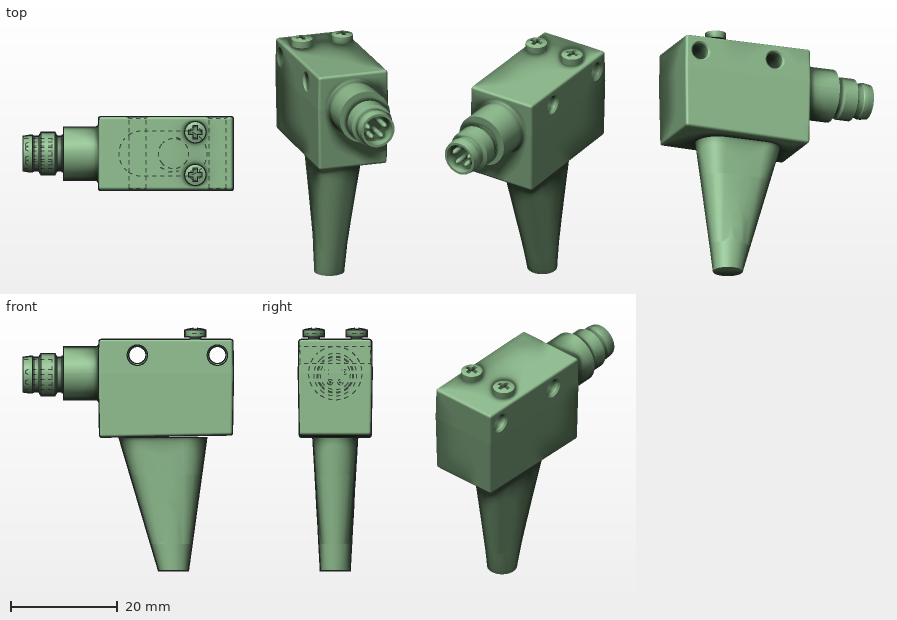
import cadquery as cq
import math


HOUSING_LENGTH = 25.35
HOUSING_WIDTH = 13.9
HEIGHT_ABOVE = 6.35
HEIGHT_BELOW = 12.05
DRAFT_ANGLE = 1.0
BOTTOM_SLOPE = 1.0
EDGE_RADIUS = 0.5

HOLE_RADIUS = 1.6
HOLE_RIM_RADIUS = 1.9
HOLE_FIRST_X = 7.3
HOLE_SPACING = 15.0
HOLE_Z = 3.4

SLEEVE_RADIUS = 5.0
SLEEVE_LENGTH = 6.55
SLEEVE_ROOT_RADIUS = 0.5
PLUG_LENGTH = 14.15
PLUG_AXIS_Z = -0.25
PLUG_NECK_RADIUS = 3.25
PLUG_LIP_RADIUS = 3.45
PLUG_COLLAR_RADIUS = 4.0
PLUG_FLANGE_LENGTH = 0.23
COLLAR_END = 7.72
COLLAR_START = 11.15
COLLAR_CHAMFER = 0.4
LIP_END = 12.1
LIP_BEVEL = 0.25
LIP_WIDTH = 0.55
BORE_RADIUS = 2.8
BORE_DEPTH = 5.45

PIN_RADIUS = 0.5
PIN_INSET = 0.45
PIN_TIP_LENGTH = 0.85
PIN_TIP_RADIUS = 0.15
UPPER_PIN_Y = 1.65
UPPER_PIN_Z = 0.5
LOWER_PIN_Y = 0.95
LOWER_PIN_Z = -1.4

SCREW_X = 18.18
SCREW_Y = 4.0
SHANK_RADIUS = 1.05
HEAD_RADIUS = 2.0
HEAD_GAP = 0.45
HEAD_RIM_HEIGHT = 1.25
SCREW_TOP_Z = 8.45
CROSS_LENGTH = 2.5
CROSS_WIDTH = 0.8
CROSS_DEPTH = 1.0

SPOUT_LENGTH = 25.0
SPOUT_BREAKS = [0, 7.0, 20.0, SPOUT_LENGTH]
SPOUT_TOP_START_X = 3.85
SPOUT_TOP_END_X = 20.35
SPOUT_TOP_RADIUS = 4.23
SPOUT_TIP_X = 14.1
SPOUT_TIP_RADIUS = 2.8


def make_half(height, rise):
    """Half of the housing above the parting plane: drafted block with round edges and half a sleeve.

    The far face rises by `rise` towards the parting plane along the housing.
    """
    outline = cq.Sketch().rect(HOUSING_LENGTH, HOUSING_WIDTH)
    parting_plane = cq.Workplane("XY", origin=(HOUSING_LENGTH / 2, 0, 0))
    block = parting_plane.placeSketch(outline).extrude(height, taper=DRAFT_ANGLE)
    if rise > 0:
        slope_wedge = (
            cq.Workplane("XZ")
            .polyline([(0, height), (HOUSING_LENGTH, height - rise), (HOUSING_LENGTH, height)])
            .close()
            .extrude(HOUSING_WIDTH / 2, both=True)
        )
        block = block.cut(slope_wedge)
    block = block.edges("not <Z").fillet(EDGE_RADIUS)

    half_sleeve = (
        cq.Workplane("YZ", origin=(-SLEEVE_LENGTH, 0, 0))
        .moveTo(-SLEEVE_RADIUS, 0)
        .threePointArc((0, SLEEVE_RADIUS), (SLEEVE_RADIUS, 0))
        .close()
        .extrude(SLEEVE_LENGTH + HOUSING_LENGTH / 2)
    )
    root_centroid = (0, 0, 2 * SLEEVE_RADIUS / math.pi)
    root_edge = cq.NearestToPointSelector(root_centroid)
    return block.union(half_sleeve).edges(root_edge).fillet(SLEEVE_ROOT_RADIUS)


def make_shell():
    """Both halves of the housing joined at the parting plane, the lower one with a sloped bottom."""
    bottom_rise = HOUSING_LENGTH * math.tan(math.radians(BOTTOM_SLOPE))
    upper = make_half(HEIGHT_ABOVE, 0)
    lower = make_half(HEIGHT_BELOW, bottom_rise).mirror("XY")
    return upper.union(lower, clean=False)


def make_plug():
    """Turned plug with a flange, a bevelled collar, a lip near the tip and a bore."""
    lip_start = LIP_END + LIP_WIDTH + LIP_BEVEL
    profile = [
        (-SLEEVE_LENGTH + SLEEVE_ROOT_RADIUS, 0),
        (-SLEEVE_LENGTH + SLEEVE_ROOT_RADIUS, PLUG_LIP_RADIUS),
        (-SLEEVE_LENGTH - PLUG_FLANGE_LENGTH, PLUG_LIP_RADIUS),
        (-SLEEVE_LENGTH - PLUG_FLANGE_LENGTH, PLUG_NECK_RADIUS),
        (-COLLAR_END, PLUG_NECK_RADIUS),
        (-COLLAR_END - COLLAR_CHAMFER, PLUG_COLLAR_RADIUS),
        (-COLLAR_START + COLLAR_CHAMFER, PLUG_COLLAR_RADIUS),
        (-COLLAR_START, PLUG_NECK_RADIUS),
        (-LIP_END, PLUG_NECK_RADIUS),
        (-LIP_END - LIP_BEVEL, PLUG_LIP_RADIUS),
        (-lip_start, PLUG_LIP_RADIUS),
        (-PLUG_LENGTH, PLUG_NECK_RADIUS),
        (-PLUG_LENGTH, BORE_RADIUS),
        (-PLUG_LENGTH + BORE_DEPTH, BORE_RADIUS),
        (-PLUG_LENGTH + BORE_DEPTH, 0),
    ]
    return (
        cq.Workplane("XZ", origin=(0, 0, PLUG_AXIS_Z))
        .polyline(profile)
        .close()
        .revolve(360, (0, 0, 0), (1, 0, 0))
    )


def make_pin(y, z):
    """Contact pin with a tapered round tip, standing on the floor of the bore."""
    length = BORE_DEPTH - PIN_INSET + PIN_RADIUS
    pin = (
        cq.Workplane("XY")
        .moveTo(length, 0)
        .lineTo(length, PIN_RADIUS)
        .lineTo(PIN_TIP_LENGTH, PIN_RADIUS)
        .tangentArcPoint((0, PIN_TIP_RADIUS), relative=False)
        .lineTo(0, 0)
        .close()
        .revolve(360, (0, 0, 0), (1, 0, 0))
    )
    return pin.translate((-PLUG_LENGTH + PIN_INSET, y, PLUG_AXIS_Z + z))


def make_screw(y):
    """Screw with a domed head and a cross recess, its head held just above the housing."""
    head_bottom = HEIGHT_ABOVE + HEAD_GAP
    rim_top = head_bottom + HEAD_RIM_HEIGHT
    dome_rise = SCREW_TOP_Z - rim_top
    dome_radius = (HEAD_RADIUS**2 + dome_rise**2) / (2 * dome_rise)
    half_radius = HEAD_RADIUS / 2
    dome_middle_z = SCREW_TOP_Z - dome_radius + math.sqrt(dome_radius**2 - half_radius**2)
    body = (
        cq.Workplane("XZ")
        .moveTo(0, HEIGHT_ABOVE - EDGE_RADIUS)
        .lineTo(SHANK_RADIUS, HEIGHT_ABOVE - EDGE_RADIUS)
        .lineTo(SHANK_RADIUS, head_bottom)
        .lineTo(HEAD_RADIUS, head_bottom)
        .lineTo(HEAD_RADIUS, rim_top)
        .threePointArc((half_radius, dome_middle_z), (0, SCREW_TOP_Z))
        .close()
        .revolve(360, (0, 0, 0), (0, 1, 0))
    )
    recess = cq.Workplane("XY", origin=(0, 0, SCREW_TOP_Z))
    cross = recess.rect(CROSS_LENGTH, CROSS_WIDTH).extrude(-CROSS_DEPTH)
    cross = cross.union(recess.rect(CROSS_WIDTH, CROSS_LENGTH).extrude(-CROSS_DEPTH))
    return body.cut(cross).translate((SCREW_X, y, 0))


def make_hole_cutter(x):
    """Through hole along Y with a chamfered rim on both sides of the housing."""
    rim = HOLE_RIM_RADIUS - HOLE_RADIUS
    half_width = HOUSING_WIDTH / 2 - HOLE_Z * math.tan(math.radians(DRAFT_ANGLE))
    profile = [
        (0, -half_width - rim),
        (HOLE_RIM_RADIUS + rim, -half_width - rim),
        (HOLE_RADIUS, -half_width + rim),
        (HOLE_RADIUS, half_width - rim),
        (HOLE_RIM_RADIUS + rim, half_width + rim),
        (0, half_width + rim),
    ]
    cutter = cq.Workplane("XY").polyline(profile).close().revolve(360, (0, 0, 0), (0, 1, 0))
    return cutter.translate((x, 0, HOLE_Z))


def make_housing():
    """Housing in one piece with its connector and its screws."""
    housing = make_shell()
    housing = housing.union(make_plug(), clean=False)
    for side in (-1, 1):
        housing = housing.union(make_pin(side * UPPER_PIN_Y, UPPER_PIN_Z), clean=False)
        housing = housing.union(make_pin(side * LOWER_PIN_Y, LOWER_PIN_Z), clean=False)
        housing = housing.union(make_screw(side * SCREW_Y), clean=False)
    for x in (HOLE_FIRST_X, HOLE_FIRST_X + HOLE_SPACING):
        housing = housing.cut(make_hole_cutter(x), clean=False)
    return housing


def spout_section(depth):
    """Cross-section of the spout: two end arcs joined by sides that bulge more towards the tip."""
    share = depth / SPOUT_LENGTH
    tip_corner = SPOUT_TIP_RADIUS * math.sqrt(0.5)

    def blend(top, tip):
        return top + (tip - top) * share

    start = blend(SPOUT_TOP_START_X, SPOUT_TIP_X - SPOUT_TIP_RADIUS)
    end = blend(SPOUT_TOP_END_X, SPOUT_TIP_X + SPOUT_TIP_RADIUS)
    start_corner = blend(SPOUT_TOP_START_X + SPOUT_TOP_RADIUS, SPOUT_TIP_X - tip_corner)
    end_corner = blend(SPOUT_TOP_END_X - SPOUT_TOP_RADIUS, SPOUT_TIP_X + tip_corner)
    corner_y = blend(SPOUT_TOP_RADIUS, tip_corner)
    side_y = blend(SPOUT_TOP_RADIUS, SPOUT_TIP_RADIUS)
    middle = (start_corner + end_corner) / 2
    z = -HEIGHT_BELOW - depth

    def side(from_x, to_x, sign):
        first = cq.Vector(from_x, sign * corner_y, z)
        last = cq.Vector(to_x, sign * corner_y, z)
        if depth == 0:
            return cq.Edge.makeLine(first, last)
        return cq.Edge.makeThreePointArc(first, cq.Vector(middle, sign * side_y, z), last)

    def round_end(corner_x, end_x, sign):
        first = cq.Vector(corner_x, sign * corner_y, z)
        last = cq.Vector(corner_x, -sign * corner_y, z)
        return cq.Edge.makeThreePointArc(first, cq.Vector(end_x, 0, z), last)

    return cq.Wire.assembleEdges(
        [
            side(start_corner, end_corner, -1),
            round_end(end_corner, end, -1),
            side(end_corner, start_corner, 1),
            round_end(start_corner, start, 1),
        ]
    )


def make_spout():
    """Spout below the housing, ruled from section to section."""
    return cq.Solid.makeLoft([spout_section(depth) for depth in SPOUT_BREAKS], True)


housing = make_housing()
spout = make_spout()

result = cq.Compound.makeCompound([housing.solids().val(), spout])